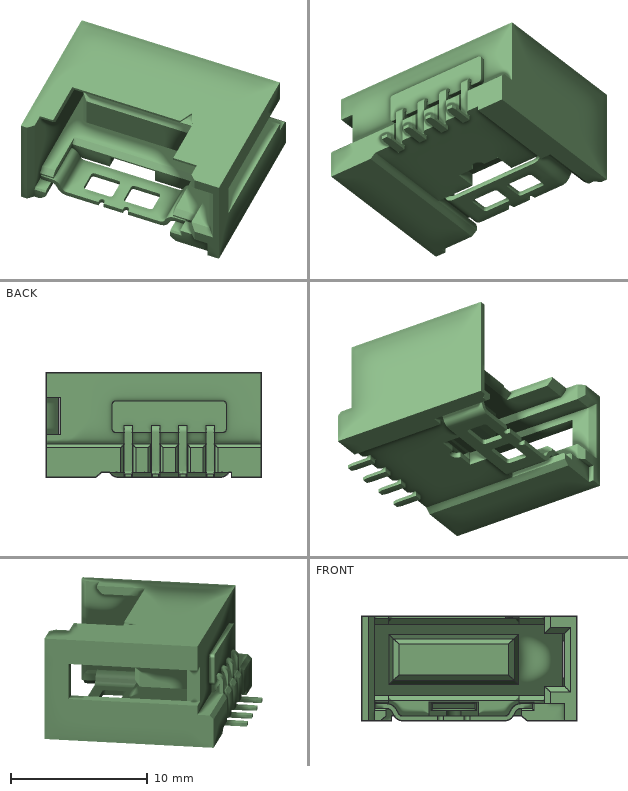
import cadquery as cq
import math

WIDTH = 15.8
HEIGHT = 7.7
BODY_REAR = 11.4
LEDGE_REAR = 12.61
LEDGE_TOP = 2.46
LEDGE_CHAMFER = 0.28
OVERSHOOT = 0.16

MID_X = 6.76
WALL_LEFT = 0.93
CAVITY_RIGHT = 13.43
CAVITY_FLOOR = 1.86
CAVITY_ROOF = 7.08
CAVITY_REAR = 10.43
LEAD_IN = 0.41
FRONT_CHAMFER = 0.43
FLOOR_LIP_TOP = 1.52
ROOF_LIP_BOTTOM = 7.5
LIP_FRONT = 1.42

NOTCH_HALF = 4.79
NOTCH_REAR = 5.01
NOTCH_LEFT = MID_X - NOTCH_HALF
NOTCH_RIGHT = MID_X + NOTCH_HALF

CHANNEL_BOTTOM = 2.55
CHANNEL_TOP = 6.41
CHANNEL_RIGHT_FRONT = 14.88
CHANNEL_RIGHT_REAR = 14.75
WINDOW_FRONT = 1.8
WINDOW_BOTTOM = 3.16
WINDOW_TOP = 5.85

FOOT_FRONT = 0.4
FOOT_HALF_GAP = 4.96
FOOT_CHAMFER = 0.45
UNDERSIDE_Z = 0.36
UNDERSIDE_LEFT = 2.21
BLOCK_TOP = 1.28
BLOCK_RIGHT = 14.9

SLOT_BOTTOM = 0.9
SLOT_TOP = 1.26
SLOT_REAR = 4.74
SLOT_HALF = 5.77
SLOT_CHAMFER = 0.13
RELIEF_HALF = 1.8
RELIEF_REAR = 6.64
TAB_SLOT_HALF = 1.55
TAB_SLOT_DEPTH = 0.95
SCALLOP_RADIUS = 0.52

SHEET = SLOT_TOP - SLOT_BOTTOM
BRACKET_REAR = 4.87
CREST_HALF = 4.44
RAMP_ANGLE = 62.0
CREST_RADIUS = 0.8
TOE_RADIUS = 0.41
BRACKET_WINDOW = (2.3, 1.69)
BRACKET_WINDOW_Y = 3.1
BRACKET_WINDOW_PITCH = 3.19
BRACKET_WINDOW_RADIUS = 0.2
BRACKET_NOTCH_PITCH = 1.95
BRACKET_NOTCH_RADIUS = 0.2
BRACKET_NOTCH_DEPTH = 0.38

TONGUE_FRONT = 5.85
TONGUE_Z = 4.5
TONGUE_TIP = (8.03, 2.29)
TONGUE_SHOULDER = (8.88, 3.05)
TONGUE_ROOT = (9.51, 3.7)
TONGUE_BEVEL = 0.43
TONGUE_ROOT_FLARE = 0.32

BOSS_HALF = 4.19
BOSS_BOTTOM = 3.3
BOSS_TOP = 5.61
BOSS_REAR = 11.79
BOSS_CORNER = 0.24
PIN_COUNT = 4
PIN_PITCH = 2.0
PIN_WIDTH = 0.62
PIN_THICK = 0.25
PIN_TOP = 3.8
PIN_BACK = 12.28
PIN_TIP = 14.05
PIN_TIP_LENGTH = 0.38
PIN_TIP_INSET = 0.08
PIN_BEND_RADIUS = 0.49
PIN_HEEL_RADIUS = 0.2
GROOVE_WIDTH = 0.73
GROOVE_CHAMFER = 0.19
WEB_WIDTH = 0.47
WEB_FOOT = 0.22
WEB_BREAK_Z = 3.19

ARROW_WIDTH = 0.98
ARROW_LENGTH = 1.03
ARROW_DEPTH = 0.15


def block(x0, x1, y0, y1, z0, z1):
    """Box between opposite corner coordinates."""
    return cq.Workplane("XY").box(x1 - x0, y1 - y0, z1 - z0, centered=False).translate((x0, y0, z0))


def prism_x(points, x0, x1):
    """Extrude a (y, z) outline from x0 to x1."""
    return cq.Workplane("YZ", origin=(x0, 0, 0)).polyline(points).close().extrude(x1 - x0)


def prism_y(points, y0, y1):
    """Extrude an (x, z) outline from y0 to y1."""
    return cq.Workplane("XZ", origin=(0, y0, 0)).polyline(points).close().extrude(y0 - y1)


def prism_z(points, z0, z1):
    """Extrude an (x, y) outline from z0 to z1."""
    return cq.Workplane("XY", origin=(0, 0, z0)).polyline(points).close().extrude(z1 - z0)


def rect_loft(y0, size0, y1, size1, center=(MID_X, TONGUE_Z)):
    """Frustum between two centred (width, height) rectangles at y0 and y1."""
    return (
        cq.Workplane("XZ", origin=(center[0], y0, center[1]))
        .rect(*size0)
        .workplane(offset=y0 - y1)
        .rect(*size1)
        .loft(ruled=True)
    )


def funnel_slot(half_width, mouth_y, rear_y):
    """Blind sheet-metal slot at flange height with a chamfered mouth."""
    width = 2 * half_width
    height = SLOT_TOP - SLOT_BOTTOM
    funnel = rect_loft(
        mouth_y, (width + 2 * SLOT_CHAMFER, height + 2 * SLOT_CHAMFER),
        mouth_y + SLOT_CHAMFER, (width, height),
        center=(MID_X, (SLOT_BOTTOM + SLOT_TOP) / 2),
    )
    return funnel.union(
        block(MID_X - half_width, MID_X + half_width, mouth_y, rear_y, SLOT_BOTTOM, SLOT_TOP)
    )


def housing_block():
    outline = [
        (0, 0),
        (LEDGE_REAR, 0),
        (LEDGE_REAR, LEDGE_TOP - LEDGE_CHAMFER),
        (LEDGE_REAR - LEDGE_CHAMFER, LEDGE_TOP),
        (BODY_REAR, LEDGE_TOP),
        (BODY_REAR, HEIGHT),
        (0, HEIGHT),
    ]
    return prism_x(outline, 0, WIDTH)


def cut_cavity(body):
    body = body.cut(block(WALL_LEFT, CAVITY_RIGHT, -OVERSHOOT, CAVITY_REAR, CAVITY_FLOOR, CAVITY_ROOF))
    mouth = [
        (WALL_LEFT, 0),
        (CAVITY_RIGHT + FRONT_CHAMFER, 0),
        (CAVITY_RIGHT, FRONT_CHAMFER),
        (CAVITY_RIGHT, LIP_FRONT),
        (WALL_LEFT, LIP_FRONT),
    ]
    body = body.cut(prism_z(mouth, BLOCK_TOP, HEIGHT))
    left_chamfer = [(WALL_LEFT - FRONT_CHAMFER, 0), (WALL_LEFT, 0), (WALL_LEFT, FRONT_CHAMFER)]
    body = body.cut(prism_z(left_chamfer, 0, HEIGHT))
    return body.cut(block(WALL_LEFT, BLOCK_RIGHT, -OVERSHOOT, FOOT_FRONT, -OVERSHOOT, BLOCK_TOP))


def cut_side_channel(body):
    channel = [
        (CAVITY_RIGHT - OVERSHOOT, 0),
        (CHANNEL_RIGHT_FRONT, 0),
        (CHANNEL_RIGHT_REAR, CAVITY_REAR),
        (CAVITY_RIGHT - OVERSHOOT, CAVITY_REAR),
    ]
    body = body.cut(prism_z(channel, CHANNEL_BOTTOM, CHANNEL_TOP))
    width = 2 * (CHANNEL_RIGHT_FRONT - CAVITY_RIGHT)
    height = CHANNEL_TOP - CHANNEL_BOTTOM
    lead_in = rect_loft(
        0, (width + 2 * FRONT_CHAMFER, height + 2 * FRONT_CHAMFER),
        FRONT_CHAMFER, (width, height),
        center=(CAVITY_RIGHT, (CHANNEL_TOP + CHANNEL_BOTTOM) / 2),
    )
    lead_in = lead_in.intersect(block(CAVITY_RIGHT, WIDTH, 0, LIP_FRONT, 0, HEIGHT))
    window = block(
        CHANNEL_RIGHT_REAR, WIDTH + OVERSHOOT,
        WINDOW_FRONT, BODY_REAR + OVERSHOOT,
        WINDOW_BOTTOM, WINDOW_TOP,
    )
    return body.cut(lead_in).cut(window)


def cut_notch(body):
    body = body.cut(block(NOTCH_LEFT, NOTCH_RIGHT, -OVERSHOOT, NOTCH_REAR, -OVERSHOOT, HEIGHT + OVERSHOOT))
    foot_left = MID_X - FOOT_HALF_GAP
    foot_right = MID_X + FOOT_HALF_GAP
    body = body.cut(block(foot_left, foot_right, -OVERSHOOT, NOTCH_REAR, -OVERSHOOT, SLOT_BOTTOM))
    edges = [
        (WALL_LEFT, NOTCH_LEFT, LIP_FRONT),
        (NOTCH_LEFT, NOTCH_RIGHT, NOTCH_REAR),
        (NOTCH_RIGHT, CAVITY_RIGHT, LIP_FRONT),
    ]
    for x0, x1, y in edges:
        for lip, face in ((ROOF_LIP_BOTTOM, CAVITY_ROOF), (FLOOR_LIP_TOP, CAVITY_FLOOR)):
            body = body.cut(prism_x([(y, lip), (y, face), (y + LEAD_IN, face)], x0, x1))
    return body


def cut_feet(body):
    foot_slot = funnel_slot(SLOT_HALF, FOOT_FRONT, SLOT_REAR)
    body = body.cut(foot_slot.intersect(block(WALL_LEFT, WIDTH, 0, SLOT_REAR, 0, SLOT_TOP)))
    lip_slot = funnel_slot(SLOT_HALF, LIP_FRONT, SLOT_REAR)
    body = body.cut(lip_slot.intersect(block(WALL_LEFT, WIDTH, 0, SLOT_REAR, SLOT_BOTTOM, HEIGHT)))
    body = body.cut(
        block(WALL_LEFT, MID_X + SLOT_HALF, FOOT_FRONT, LIP_FRONT, SLOT_BOTTOM, BLOCK_TOP)
    )
    for side, rear in ((-1, NOTCH_REAR), (1, LEDGE_REAR)):
        inner = MID_X + side * FOOT_HALF_GAP
        wedge = [(inner, 0), (inner + side * FOOT_CHAMFER, 0), (inner, UNDERSIDE_Z)]
        body = body.cut(prism_y(wedge, 0, rear))
    underside = block(
        UNDERSIDE_LEFT, MID_X + FOOT_HALF_GAP,
        0, LEDGE_REAR + OVERSHOOT,
        -OVERSHOOT, UNDERSIDE_Z,
    )
    return body.cut(underside)


def cut_tab_relief(body):
    relief = block(
        MID_X - RELIEF_HALF, MID_X + RELIEF_HALF, 0, RELIEF_REAR, -OVERSHOOT, SLOT_TOP + SLOT_CHAMFER
    )
    tab_slot = funnel_slot(TAB_SLOT_HALF, RELIEF_REAR, RELIEF_REAR + TAB_SLOT_DEPTH)
    scallop = (
        cq.Workplane("XY")
        .center(MID_X, RELIEF_REAR)
        .circle(SCALLOP_RADIUS)
        .extrude(SLOT_BOTTOM - SLOT_CHAMFER)
    )
    return body.cut(relief).cut(tab_slot).cut(scallop)


def cut_arrow(body):
    arrow = [
        (NOTCH_RIGHT - ARROW_WIDTH, NOTCH_REAR),
        (NOTCH_RIGHT, NOTCH_REAR),
        (NOTCH_RIGHT - ARROW_WIDTH / 2, NOTCH_REAR + ARROW_LENGTH),
    ]
    return body.cut(prism_z(arrow, HEIGHT - ARROW_DEPTH, HEIGHT))


def tongue():
    shoulder_y = TONGUE_FRONT + TONGUE_BEVEL
    flare_y = CAVITY_REAR - TONGUE_ROOT_FLARE
    tip = rect_loft(TONGUE_FRONT, TONGUE_TIP, shoulder_y, TONGUE_SHOULDER)
    shank = rect_loft(shoulder_y, TONGUE_SHOULDER, flare_y, TONGUE_SHOULDER)
    root = rect_loft(flare_y, TONGUE_SHOULDER, CAVITY_REAR, TONGUE_ROOT)
    return tip.union(shank).union(root)


def bracket():
    """Hat-shaped strip: raised flanges, sloped ramps and a flat, pierced middle."""
    angle = math.radians(RAMP_ANGLE)
    ramp_run = SLOT_BOTTOM / math.tan(angle)
    bend_shift = SHEET * math.tan(angle / 2)
    crest_in = CREST_HALF + bend_shift
    toe = CREST_HALF - ramp_run
    toe_out = toe + bend_shift
    half = [
        (toe_out, 0),
        (crest_in, SLOT_BOTTOM),
        (SLOT_HALF, SLOT_BOTTOM),
        (SLOT_HALF, SLOT_TOP),
        (CREST_HALF, SLOT_TOP),
        (toe, SHEET),
    ]
    right = [(MID_X + x, z) for x, z in half]
    left = [(MID_X - x, z) for x, z in reversed(half)]
    strip = prism_y(right + left, LIP_FRONT, BRACKET_REAR)
    mid_y = (LIP_FRONT + BRACKET_REAR) / 2
    bends = [
        (CREST_HALF, SLOT_TOP, CREST_RADIUS),
        (crest_in, SLOT_BOTTOM, CREST_RADIUS - SHEET),
        (toe, SHEET, TOE_RADIUS),
        (toe_out, 0, TOE_RADIUS + SHEET),
    ]
    for side in (-1, 1):
        for x, z, radius in bends:
            corner = cq.selectors.NearestToPointSelector((MID_X + side * x, mid_y, z))
            strip = strip.edges("|Y").edges(corner).fillet(radius)
        window = (
            cq.Workplane("XY")
            .center(MID_X + side * BRACKET_WINDOW_PITCH / 2, BRACKET_WINDOW_Y)
            .rect(*BRACKET_WINDOW)
            .extrude(SHEET)
            .edges("|Z")
            .fillet(BRACKET_WINDOW_RADIUS)
        )
        notch = (
            cq.Workplane("XY")
            .center(MID_X + side * BRACKET_NOTCH_PITCH / 2, LIP_FRONT)
            .slot2D(2 * BRACKET_NOTCH_DEPTH, 2 * BRACKET_NOTCH_RADIUS, 90)
            .extrude(SHEET)
        )
        strip = strip.cut(window).cut(notch)
    return strip


def rear_boss():
    return (
        block(MID_X - BOSS_HALF, MID_X + BOSS_HALF, BODY_REAR, BOSS_REAR, BOSS_BOTTOM, BOSS_TOP)
        .edges("|Y")
        .fillet(BOSS_CORNER)
    )


def pin_groove(x):
    half = GROOVE_WIDTH / 2
    front = PIN_BACK - PIN_THICK
    flare_y = LEDGE_REAR - GROOVE_CHAMFER
    outline = [
        (x - half, front),
        (x + half, front),
        (x + half, flare_y),
        (x + half + GROOVE_CHAMFER, LEDGE_REAR),
        (x - half - GROOVE_CHAMFER, LEDGE_REAR),
        (x - half, flare_y),
    ]
    return prism_z(outline, 0, LEDGE_TOP)


def pin(x):
    """Bent pin: out of the boss, down the groove and back along the bottom."""
    left = x - PIN_WIDTH / 2
    right = x + PIN_WIDTH / 2
    front = PIN_BACK - PIN_THICK
    drop = (
        block(left, right, BODY_REAR, PIN_BACK, 0, PIN_TOP)
        .edges("|X and >Y and >Z")
        .fillet(PIN_BEND_RADIUS)
    )
    inside = (
        block(left, right, BODY_REAR, front, 0, PIN_TOP - PIN_THICK)
        .edges("|X and >Y and >Z")
        .fillet(PIN_BEND_RADIUS - PIN_THICK)
    )
    drop = drop.cut(inside)
    tip_start = PIN_TIP - PIN_TIP_LENGTH
    sole = [
        (left, front),
        (right, front),
        (right, tip_start),
        (right - PIN_TIP_INSET, PIN_TIP),
        (left + PIN_TIP_INSET, PIN_TIP),
        (left, tip_start),
    ]
    bent = drop.union(prism_z(sole, 0, PIN_THICK))
    heel = cq.selectors.NearestToPointSelector((x, PIN_BACK, PIN_THICK))
    return bent.edges("|X").edges(heel).fillet(PIN_HEEL_RADIUS)


def pin_web(x):
    """Narrow housing rib filling the bend between pin, boss and ledge."""
    front = PIN_BACK - PIN_THICK
    under = PIN_TOP - PIN_THICK
    inner_radius = PIN_BEND_RADIUS - PIN_THICK
    outline = [
        (BODY_REAR, LEDGE_TOP),
        (BODY_REAR + WEB_FOOT, LEDGE_TOP),
        (front, WEB_BREAK_Z),
        (front, under - inner_radius),
        (front - inner_radius, under),
        (BODY_REAR, under),
    ]
    return prism_x(outline, x - WEB_WIDTH / 2, x + WEB_WIDTH / 2)


result = housing_block()
for cut_feature in (cut_cavity, cut_side_channel, cut_notch, cut_feet, cut_tab_relief, cut_arrow):
    result = cut_feature(result)
result = result.union(tongue()).union(bracket()).union(rear_boss())
for index in range(PIN_COUNT):
    pin_x = MID_X + (index - (PIN_COUNT - 1) / 2) * PIN_PITCH
    result = result.cut(pin_groove(pin_x)).union(pin(pin_x)).union(pin_web(pin_x))